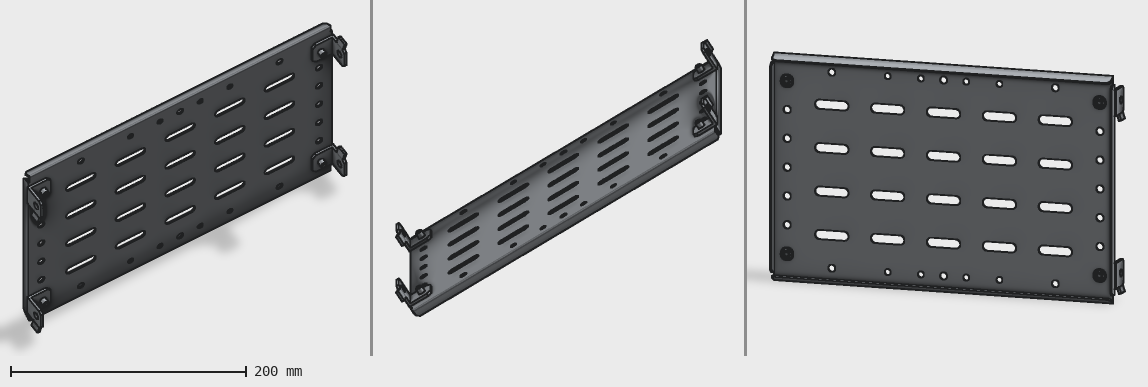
import cadquery as cq
import math

SHEET = 1.5
BACK_X = -6.0
FRONT_X = BACK_X - SHEET
TRAY_HEIGHT = 197.8
WEB_WIDTH = 303.0
LIP_TIP_X = -15.3
LIP_SLOPE = 30
LIP_BEND_RADIUS = 1.0
LIP_CORNER_CUT = 2.5
FLANGE_WIDTH = 306.0
FLANGE_HEIGHT = 182.2
FLANGE_DEPTH = 8.0
FLANGE_CORNER_CUT = 2.8
LIP_BEND_TRIM = LIP_BEND_RADIUS * (
    math.tan(math.radians(LIP_SLOPE)) + 1 / math.cos(math.radians(LIP_SLOPE)) - 1
)

SLOT_LENGTH = 30.0
SLOT_WIDTH = 8.0
SLOT_COLUMNS = 5
SLOT_ROWS = 4
COLUMN_PITCH = 100.0 / 2
ROW_PITCH = 37.7
SIDE_HOLE_DIAMETER = 6.5
SIDE_HOLE_COUNT = 5
SIDE_HOLE_PITCH = COLUMN_PITCH / 2
SIDE_HOLE_Y = 140.0
EDGE_HOLE_Z = 85.0
OUTER_HOLE_Y = 2 * COLUMN_PITCH
MIDDLE_HOLE_Y = COLUMN_PITCH
INNER_HOLE_Y = 20.2
LARGE_EDGE_HOLE = 6.2
SMALL_EDGE_HOLE = 5.3

OVERALL_WIDTH = 311.5
PLATE = 2.5
BRACKET_Z = 75.0
BRACKET_HEIGHT = 22.5
TAB_END_X = 15.3
TAB_CORNER_CUT = 2.8
TAB_HOLE_X = 7.8
TAB_HOLE_DIAMETER = 6.5
FOOT_INNER_Y = 131.8
FOOT_CORNER_CUT = 3.5
LUG_START_X = 3.0
LUG_END_X = 12.8
LUG_LENGTH = 6.5
LUG_LEAN = 17
TAB_OUTER_Y = (
    OVERALL_WIDTH / 2
    - LUG_LENGTH * math.sin(math.radians(LUG_LEAN))
    + PLATE * (1 - math.cos(math.radians(LUG_LEAN)))
)

SCREW_Y = SIDE_HOLE_Y
SHANK_DIAMETER = 6.0
SHANK_END_X = 2.5
SHANK_CHAMFER = 1.0
HEAD_DIAMETER = 11.5
HEAD_HEIGHT = 3.0
SHOULDER_DIAMETER = 10.3
SHOULDER_HEIGHT = 2.2
CROWN_DIAMETER = 7.5
SOCKET_FLATS = 3.7
SOCKET_DEPTH = 2.2
SOCKET_MOUTH_DIAMETER = 6.0


def box(x_range, y_range, z_range):
    """Box between the given pairs of limits."""
    (x0, x1), (y0, y1), (z0, z1) = x_range, y_range, z_range
    return cq.Workplane("XY").box(x1 - x0, y1 - y0, z1 - z0, centered=False).translate((x0, y0, z0))


def x_cylinders(points, diameter, x_start, x_end):
    """Cylinders along X at the given (y, z) places."""
    plane = cq.Workplane("YZ", origin=(x_start, 0, 0))
    return plane.pushPoints(points).circle(diameter / 2).extrude(x_end - x_start)


def make_half_web():
    """Upper half of the sheet, with its lip folded forwards and down."""
    slope = math.radians(LIP_SLOPE)
    bend_z = TRAY_HEIGHT / 2 + LIP_BEND_TRIM
    tip_z = bend_z - (BACK_X - LIP_TIP_X) * math.tan(slope)
    inner_tip = (LIP_TIP_X + SHEET * math.sin(slope), tip_z - SHEET * math.cos(slope))
    inner_bend = (FRONT_X, bend_z - SHEET * (1 / math.cos(slope) + math.tan(slope)))
    section = [(BACK_X, 0), (BACK_X, bend_z), (LIP_TIP_X, tip_z), inner_tip, inner_bend, (FRONT_X, 0)]
    web = cq.Workplane("XZ").polyline(section).close().extrude(WEB_WIDTH / 2, both=True)
    web = web.edges("|Y and >Z").fillet(LIP_BEND_RADIUS)
    for side in (-1, 1):
        edge = side * WEB_WIDTH / 2
        corner = [
            (LIP_TIP_X, edge),
            (LIP_TIP_X + LIP_CORNER_CUT, edge),
            (LIP_TIP_X, edge - side * LIP_CORNER_CUT),
        ]
        web = web.cut(cq.Workplane("XY").polyline(corner).close().extrude(TRAY_HEIGHT))
    return web


def make_flange(side):
    """Side flange with chamfered front corners, and the strip of sheet it is folded from."""
    outer = side * FLANGE_WIDTH / 2
    inner = outer - side * SHEET
    y_limits = (min(outer, inner), max(outer, inner))
    z_limits = (-FLANGE_HEIGHT / 2, FLANGE_HEIGHT / 2)
    flange = box((BACK_X - FLANGE_DEPTH, BACK_X), y_limits, z_limits)
    return flange.edges("|Y and <X").chamfer(FLANGE_CORNER_CUT)


def slot_places():
    ys = [(i - (SLOT_COLUMNS - 1) / 2) * COLUMN_PITCH for i in range(SLOT_COLUMNS)]
    zs = [(i - (SLOT_ROWS - 1) / 2) * ROW_PITCH for i in range(SLOT_ROWS)]
    return [(y, z) for y in ys for z in zs]


def side_hole_places():
    zs = [(i - (SIDE_HOLE_COUNT - 1) / 2) * SIDE_HOLE_PITCH for i in range(SIDE_HOLE_COUNT)]
    return [(side * SIDE_HOLE_Y, z) for side in (-1, 1) for z in zs]


def edge_hole_places(distances):
    """Places at +/- each distance from the middle, along the top and bottom edges."""
    ys = sorted({side * y for y in distances for side in (-1, 1)})
    return [(y, z) for y in ys for z in (-EDGE_HOLE_Z, EDGE_HOLE_Z)]


def screw_places():
    return [(y, z) for y in (-SCREW_Y, SCREW_Y) for z in (-BRACKET_Z, BRACKET_Z)]


def make_tray():
    half = make_half_web()
    flange_span = (-FLANGE_WIDTH / 2, FLANGE_WIDTH / 2)
    flange_rise = (-FLANGE_HEIGHT / 2, FLANGE_HEIGHT / 2)
    middle = box((FRONT_X, BACK_X), flange_span, flange_rise)
    tray = half.union(half.mirror("XY")).union(middle)
    for side in (-1, 1):
        tray = tray.union(make_flange(side))

    slots = cq.Workplane("YZ", origin=(FRONT_X, 0, 0)).pushPoints(slot_places())
    tray = tray.cut(slots.slot2D(SLOT_LENGTH, SLOT_WIDTH).extrude(SHEET))

    large_places = edge_hole_places([0, OUTER_HOLE_Y])
    small_places = edge_hole_places([MIDDLE_HOLE_Y, INNER_HOLE_Y])
    for places, diameter in (
        (side_hole_places(), SIDE_HOLE_DIAMETER),
        (large_places, LARGE_EDGE_HOLE),
        (small_places, SMALL_EDGE_HOLE),
        (screw_places(), SHANK_DIAMETER),
    ):
        tray = tray.cut(x_cylinders(places, diameter, FRONT_X, BACK_X))
    return tray


def make_lug():
    """Square-ended lug on the upper side of the tab, leaning outwards."""
    lean = math.radians(LUG_LEAN)
    root_z = BRACKET_HEIGHT / 2
    root_y = TAB_OUTER_Y - PLATE
    inner_tip = (root_y + LUG_LENGTH * math.sin(lean), root_z + LUG_LENGTH * math.cos(lean))
    outer_tip = (inner_tip[0] + PLATE * math.cos(lean), inner_tip[1] - PLATE * math.sin(lean))
    outline = [(root_y, root_z), inner_tip, outer_tip, (TAB_OUTER_Y, root_z)]
    plane = cq.Workplane("YZ", origin=(LUG_START_X, 0, 0))
    return plane.polyline(outline).close().extrude(LUG_END_X - LUG_START_X)


def make_bracket():
    """Bracket of the +Y side, centred on Z = 0."""
    z_limits = (-BRACKET_HEIGHT / 2, BRACKET_HEIGHT / 2)
    foot = box((BACK_X, BACK_X + PLATE), (FOOT_INNER_Y, TAB_OUTER_Y), z_limits)
    foot = foot.edges("|X and <Y").chamfer(FOOT_CORNER_CUT)
    tab = box((BACK_X, TAB_END_X), (TAB_OUTER_Y - PLATE, TAB_OUTER_Y), z_limits)
    tab = tab.edges("|Y and >X").chamfer(TAB_CORNER_CUT)
    bracket = foot.union(tab)
    bracket = bracket.union(make_lug())
    tab_hole = cq.Workplane("XZ", origin=(TAB_HOLE_X, TAB_OUTER_Y, 0)).circle(TAB_HOLE_DIAMETER / 2)
    bracket = bracket.cut(tab_hole.extrude(PLATE))
    return bracket.cut(x_cylinders([(SCREW_Y, 0)], SHANK_DIAMETER, BACK_X, BACK_X + PLATE))


def make_screw():
    """Screw along the X axis, with a two-stage tapered head in front of the sheet."""
    shoulder_x = FRONT_X - SHOULDER_HEIGHT
    top_x = FRONT_X - HEAD_HEIGHT
    profile = [
        (FRONT_X, 0),
        (FRONT_X, HEAD_DIAMETER / 2),
        (shoulder_x, SHOULDER_DIAMETER / 2),
        (top_x, CROWN_DIAMETER / 2),
        (top_x, 0),
    ]
    head = cq.Workplane("XY").polyline(profile).close().revolve(360, (0, 0, 0), (1, 0, 0))
    shank = x_cylinders([(0, 0)], SHANK_DIAMETER, FRONT_X, SHANK_END_X)
    shank = shank.faces(">X").chamfer(SHANK_CHAMFER)
    socket_corners = SOCKET_FLATS / math.cos(math.pi / 6)
    socket_plane = cq.Workplane("YZ", origin=(top_x, 0, 0)).transformed(rotate=(0, 0, 90))
    socket = socket_plane.polygon(6, socket_corners).extrude(SOCKET_DEPTH)
    mouth_depth = (SOCKET_MOUTH_DIAMETER - SOCKET_FLATS) / 2
    mouth = cq.Workplane("YZ", origin=(top_x, 0, 0)).circle(SOCKET_MOUTH_DIAMETER / 2)
    mouth = mouth.workplane(offset=mouth_depth).circle(SOCKET_FLATS / 2).loft()
    return head.union(shank).cut(socket).cut(mouth)


tray = make_tray()

brackets = []
for turn in (0, 180):
    turned = make_bracket().rotate((0, 0, 0), (1, 0, 0), turn)
    for z in (-BRACKET_Z, BRACKET_Z):
        brackets.append(turned.translate((0, 0, z)))

screws = [make_screw().translate((0, y, z)) for y, z in screw_places()]

result = cq.Compound.makeCompound(
    [tray.val(), *[bracket.val() for bracket in brackets], *[screw.val() for screw in screws]]
)